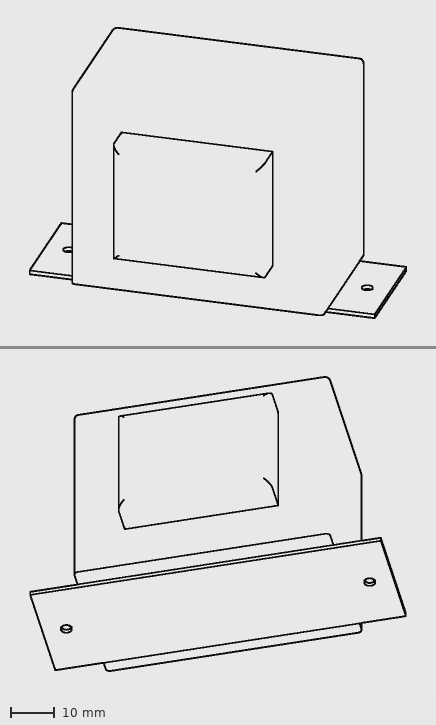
import cadquery as cq

plate_length = 82.0
plate_width = 25.9
plate_thickness = 1.0
hole_diameter = 2.55
hole_spacing = 70.9

total_height = 51.0
core_length = 59.9
core_width = 34.0
core_height = total_height - plate_thickness
small_radius = 1.0
large_radius = 2.0

coil_length = 35.9
coil_depth = 50.0
coil_height = 28.95
coil_bottom = 12.05
coil_radius = 2.0


def make_plate():
    plate = cq.Workplane("XY").box(
        plate_length, plate_width, plate_thickness, centered=(True, True, False)
    )
    hole_places = [(-hole_spacing / 2, 0), (hole_spacing / 2, 0)]
    return plate.faces(">Z").workplane().pushPoints(hole_places).hole(hole_diameter)


def make_core():
    core = (
        cq.Workplane("XY")
        .workplane(offset=plate_thickness)
        .box(core_length, core_width, core_height, centered=(True, True, False))
    )
    core = core.edges("|Z").edges("<X and >Y").fillet(small_radius)
    core = core.faces(">Z").edges("<X or >Y").fillet(large_radius)
    other_uprights = core.edges("|Z").edges(">X or <Y")
    other_top_edges = core.faces(">Z").edges(">X or <Y")
    return other_uprights.add(other_top_edges).fillet(small_radius)


def make_coil():
    coil = (
        cq.Workplane("XY")
        .workplane(offset=coil_bottom)
        .box(coil_length, coil_depth, coil_height, centered=(True, True, False))
    )
    return coil.faces("<Y or >Y").edges().fillet(coil_radius)


result = make_plate().union(make_core()).union(make_coil())